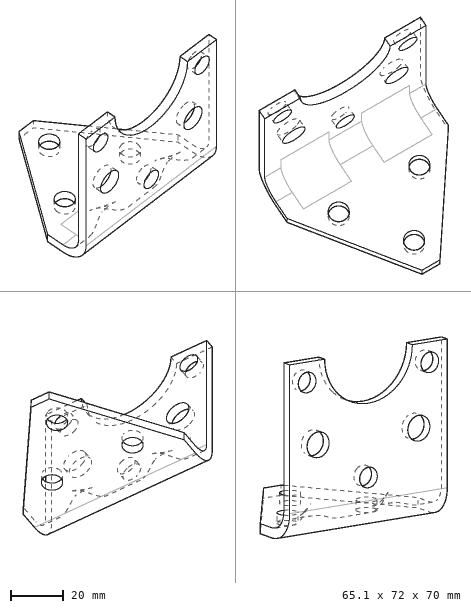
import cadquery as cq
import math

length = 65.05
width = 72.0
height = 70.05
thickness = 4.0
inner_radius = 8.0
outer_radius = inner_radius + thickness

tip_width = 8.0
straight_length = 20.0
base_hole_diameter = 8.0
base_tip_hole_x = 12.0
base_pair_hole_x = 37.0
base_pair_spacing = 36.0

notch_radius = 20.0
upright_hole_diameter = 8.0
top_hole_drop = 8.0
top_hole_spacing = 56.0
large_hole_diameter = 10.0
large_hole_drop = 33.0
large_hole_spacing = 46.0
low_hole_drop = 49.0

stiffener_spacing = 36.0
stiffener_width = 21.4
stiffener_leg = 16.0
ridge_leg = 14.0
grid_steps_along = 48
grid_steps_across = 24
surface_tolerance = 0.0005
join_tolerance = 0.002

inner_corner_x = length - thickness
inner_corner_z = thickness


def outer_bend_line():
    """Open outline in the XZ plane along the sheet's outer faces, from the tip to the top."""
    return (
        cq.Workplane("XZ")
        .moveTo(0, 0)
        .lineTo(length - outer_radius, 0)
        .radiusArc((length, outer_radius), -outer_radius)
        .lineTo(length, height)
    )


def bend_profile():
    """Side outline of the bent sheet, in the XZ plane."""
    return (
        outer_bend_line()
        .lineTo(inner_corner_x, height)
        .lineTo(inner_corner_x, thickness + inner_radius)
        .radiusArc((inner_corner_x - inner_radius, thickness), inner_radius)
        .lineTo(0, thickness)
        .close()
    )


def bend_envelope():
    """Everything on the inner side of the sheet's outer faces."""
    return (
        outer_bend_line()
        .lineTo(0, height)
        .close()
        .extrude(width / 2, both=True)
    )


def make_sheet():
    """Bent sheet with the base tapering to its tip."""
    sheet = bend_profile().extrude(width / 2, both=True)
    taper_end = length - straight_length
    plan = (
        cq.Workplane("XY")
        .polyline([
            (0, -tip_width / 2),
            (taper_end, -width / 2),
            (length, -width / 2),
            (length, width / 2),
            (taper_end, width / 2),
            (0, tip_width / 2),
        ])
        .close()
        .extrude(height)
    )
    return sheet.intersect(plan)


def sheet_rise(offset):
    """Distance of the inner sheet surface from the inner corner, along the bend's bisector.

    The offset is measured square to the bisector, in the XZ plane.
    """
    if abs(offset) >= inner_radius / math.sqrt(2):
        return abs(offset)
    return inner_radius * math.sqrt(2) - math.sqrt(inner_radius**2 - offset**2)


def ridge_rise(offset):
    """Rise of the stiffener's crest: straight, with parabolic ends tangent to the plates."""
    end = stiffener_leg / math.sqrt(2)
    straight_rise = ridge_leg / math.sqrt(2)
    blend_length = 2 * (end - straight_rise)
    into_blend = max(0, abs(offset) - (end - blend_length))
    return straight_rise + into_blend**2 / (2 * blend_length)


def stiffener_point(along, across, center_y):
    """Point on the stiffener surface; along and across both run from -1 to 1."""
    offset = along * stiffener_leg / math.sqrt(2)
    swell = math.cos(across * math.pi / 2) ** 2
    base_rise = sheet_rise(offset)
    rise = base_rise + swell * (ridge_rise(offset) - base_rise)
    x = inner_corner_x - (rise + offset) / math.sqrt(2)
    z = inner_corner_z + (rise - offset) / math.sqrt(2)
    return cq.Vector(x, center_y + across * stiffener_width / 2, z)


def make_stiffener(center_y):
    """Smooth swelling, solid down to the outside of the bend."""
    grid = [
        [
            stiffener_point(2 * i / grid_steps_along - 1, 2 * j / grid_steps_across - 1, center_y)
            for j in range(grid_steps_across + 1)
        ]
        for i in range(grid_steps_along + 1)
    ]
    surface = cq.Face.makeSplineApprox(grid, tol=surface_tolerance)
    swept = cq.Solid.extrudeLinear(surface, cq.Vector(stiffener_leg, 0, -stiffener_leg))
    return bend_envelope().intersect(cq.Workplane(swept))


def stiffener_seat(center_y):
    """Block, square to the bend's bisector, taking the sheet away where a stiffener replaces it."""
    leg_x = inner_corner_x - stiffener_leg
    leg_z = inner_corner_z + stiffener_leg
    return (
        cq.Workplane("XZ", origin=(0, center_y, 0))
        .polyline([
            (leg_x, inner_corner_z),
            (inner_corner_x, inner_corner_z - stiffener_leg),
            (inner_corner_x + stiffener_leg, inner_corner_z),
            (inner_corner_x, leg_z),
            (leg_x, leg_z),
        ])
        .close()
        .extrude(stiffener_width / 2, both=True)
    )


def base_holes():
    """Three round cuts through the base: one near the tip and a symmetric pair."""
    points = [
        (base_tip_hole_x, 0),
        (base_pair_hole_x, base_pair_spacing / 2),
        (base_pair_hole_x, -base_pair_spacing / 2),
    ]
    return cq.Workplane("XY").pushPoints(points).circle(base_hole_diameter / 2).extrude(thickness)


def upright_cut(radius, drop, spacing=0):
    """Round cut through the upright, or a symmetric pair when a spacing is given."""
    z = height - drop
    points = [(-spacing / 2, z), (spacing / 2, z)] if spacing else [(0, z)]
    return (
        cq.Workplane("YZ", origin=(inner_corner_x, 0, 0))
        .pushPoints(points)
        .circle(radius)
        .extrude(thickness)
    )


result = make_sheet()
for side in (-1, 1):
    center = side * stiffener_spacing / 2
    result = result.cut(stiffener_seat(center))
    result = result.union(make_stiffener(center), tol=join_tolerance)

result = (
    result.cut(base_holes())
    .cut(upright_cut(notch_radius, 0))
    .cut(upright_cut(upright_hole_diameter / 2, top_hole_drop, top_hole_spacing))
    .cut(upright_cut(large_hole_diameter / 2, large_hole_drop, large_hole_spacing))
    .cut(upright_cut(upright_hole_diameter / 2, low_hole_drop))
)